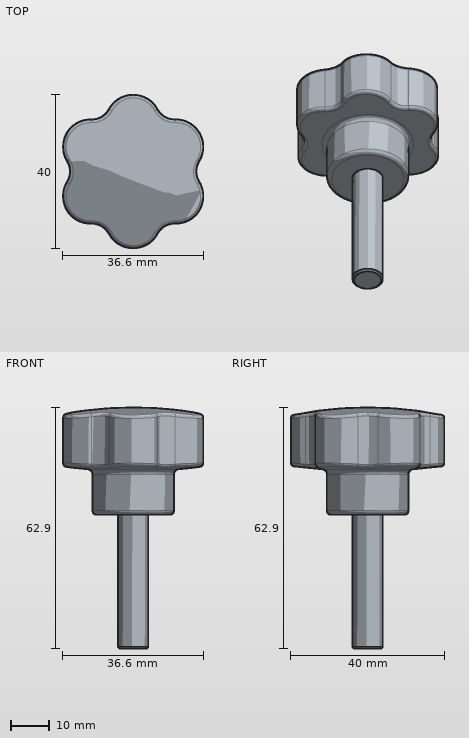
import cadquery as cq
import math

total_height = 62.85
lobe_count = 6

stud_radius = 8.0 / 2
stud_chamfer = 0.5

collar_radius = 21.3 / 2
collar_bottom = 34.8
collar_edge_radius = 1.2
flare_bottom = 45.45
flare_radius = 1.25
flare_top = flare_bottom + flare_radius
flare_outer = collar_radius + flare_radius
stem_overlap = 3.15

head_radius = 20.0
lobe_radius = 14.4 / 2
valley_radius = 5.0
head_edge_radius = 0.95
dome_drop = 2.1
underside_rise = 0.8
envelope_margin = 1.25

half_pitch = math.pi / lobe_count
lobe_offset = head_radius - lobe_radius
centre_gap = lobe_radius + valley_radius
lobe_across = lobe_offset * math.sin(half_pitch)
lobe_along = lobe_offset * math.cos(half_pitch)
valley_offset = lobe_along + math.sqrt(centre_gap**2 - lobe_across**2)
valley_depth_radius = valley_offset - valley_radius

tangent_share = valley_radius / centre_gap
tangent_along = valley_offset + (lobe_along - valley_offset) * tangent_share
tangent_across = lobe_across * tangent_share
tangent_radius = math.hypot(tangent_along, tangent_across)
tangent_angle = math.atan2(tangent_across, tangent_along)


def polar(radius, angle):
    return (radius * math.cos(angle), radius * math.sin(angle))


def star_outline():
    """Closed outline of alternating valley and lobe arcs, with a valley on +X."""
    outline = cq.Workplane("XY").moveTo(*polar(tangent_radius, -tangent_angle))
    for index in range(lobe_count):
        valley = 2 * half_pitch * index
        lobe = valley + half_pitch
        next_valley = valley + 2 * half_pitch
        outline = outline.threePointArc(
            polar(valley_depth_radius, valley),
            polar(tangent_radius, valley + tangent_angle),
        )
        outline = outline.threePointArc(
            polar(head_radius, lobe),
            polar(tangent_radius, next_valley - tangent_angle),
        )
    return outline.close()


def revolve_profile(profile):
    return profile.close().revolve(360, (0, 0), (0, 1))


def make_head():
    """Star prism trimmed by a domed top and a conical underside, with rounded rims."""
    envelope_radius = head_radius + envelope_margin
    dome_radius = (head_radius**2 + dome_drop**2) / (2 * dome_drop)

    def dome_point(radius):
        height = total_height - dome_radius + math.sqrt(dome_radius**2 - radius**2)
        return (radius, height)

    underside_slope = underside_rise / (head_radius - flare_outer)
    envelope_bottom = flare_top + underside_slope * (envelope_radius - flare_outer)
    envelope = revolve_profile(
        cq.Workplane("XZ")
        .moveTo(0, flare_top)
        .lineTo(flare_outer, flare_top)
        .lineTo(envelope_radius, envelope_bottom)
        .lineTo(*dome_point(envelope_radius))
        .threePointArc(dome_point(envelope_radius / 2), (0, total_height))
    )
    head = star_outline().extrude(total_height).intersect(envelope)
    rims = head.edges("not |Z").filter(
        lambda edge: math.hypot(edge.startPoint().x, edge.startPoint().y) > valley_depth_radius
    )
    return rims.fillet(head_edge_radius)


def make_stem():
    """Stud, rounded collar and the flare that blends the collar into the head."""
    corner = math.sqrt(0.5)
    edge_mid = (
        collar_radius - collar_edge_radius * (1 - corner),
        collar_bottom + collar_edge_radius * (1 - corner),
    )
    flare_mid = (flare_outer - flare_radius * corner, flare_bottom + flare_radius * corner)
    return revolve_profile(
        cq.Workplane("XZ")
        .moveTo(0, 0)
        .lineTo(stud_radius - stud_chamfer, 0)
        .lineTo(stud_radius, stud_chamfer)
        .lineTo(stud_radius, collar_bottom)
        .lineTo(collar_radius - collar_edge_radius, collar_bottom)
        .threePointArc(edge_mid, (collar_radius, collar_bottom + collar_edge_radius))
        .lineTo(collar_radius, flare_bottom)
        .threePointArc(flare_mid, (flare_outer, flare_top))
        .lineTo(flare_outer, flare_top + stem_overlap)
        .lineTo(0, flare_top + stem_overlap)
    )


result = make_head().union(make_stem())